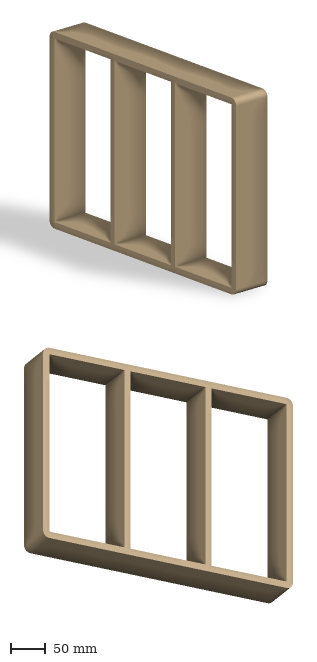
import cadquery as cq

width = 401.5
depth = 60.0
height = 298.0
wall = 10.0
corner_radius = 10.0

bay_count = 3
divider = 9.2
inner_width = width - 2 * wall
inner_height = height - 2 * wall
bay_width = (inner_width - (bay_count - 1) * divider) / bay_count
bay_pitch = bay_width + divider

frame = cq.Workplane("XY").box(width, depth, height).edges("|Y").fillet(corner_radius)

bays = (
    cq.Workplane("XZ")
    .rarray(bay_pitch, 4, bay_count, 1)
    .rect(bay_width, inner_height)
    .extrude(depth, both=True)
)

result = frame.cut(bays)